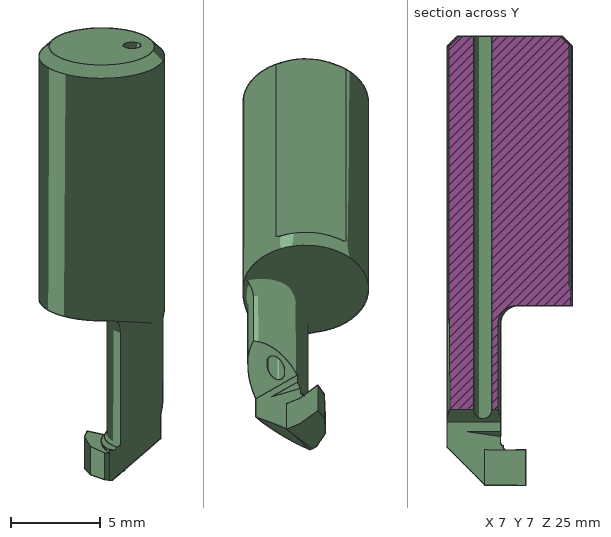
import cadquery as cq
import math

total_height = 25
shank_radius = 3.5
shank_bottom = 10
top_chamfer = 0.58

flat_distance = 2.9
flat_bottom = 11
flat_angle = 135
flat_corner_radius = 0.15

hole_x = 1.5
hole_y = 0.8
hole_radius = 0.5

arc_radius = 2.3
outer_center_x = shank_radius - arc_radius
neck_left = 0.5
inner_center_x = neck_left + arc_radius
root_fillet = 1
upper_foot_fillet = 0.15
lower_foot_fillet = 0.18
foot_top = 2.38
foot_step = 2.15
foot_bottom = 1.75

rake_y = 0.12
slope_top = 5.58
neck_half_depth = math.sqrt(arc_radius**2 - ((inner_center_x - outer_center_x) / 2) ** 2)
end_slope_z = 2.15
groove_run_out = 2.88
groove_low = (0.5, -0.15)
groove_end_x = 2.35

tip_height = 2
edge_point = (-0.9, 0.038)
flank_points = [(-0.75, -0.72), (0.05, -1.78), (1.1, -arc_radius)]
tip_right = 1.4
tip_rise = 0.2

margin = 1.25


def flared_cylinder(center_x, bottom, flares_down):
    """Cylinder up to the shank with a root fillet, and optionally a two-step filleted foot."""
    root_radius = arc_radius + root_fillet
    profile = cq.Workplane("XZ").moveTo(0, bottom)
    if flares_down:
        step_radius = arc_radius + upper_foot_fillet
        foot_radius = step_radius + lower_foot_fillet
        profile = (
            profile.lineTo(foot_radius, bottom)
            .lineTo(foot_radius, foot_step - lower_foot_fillet)
            .radiusArc((step_radius, foot_step), lower_foot_fillet)
            .lineTo(step_radius, foot_top - upper_foot_fillet)
            .radiusArc((arc_radius, foot_top), upper_foot_fillet)
        )
    else:
        profile = profile.lineTo(arc_radius, bottom)
    profile = (
        profile.lineTo(arc_radius, shank_bottom - root_fillet)
        .radiusArc((root_radius, shank_bottom), root_fillet)
        .lineTo(0, shank_bottom)
        .close()
    )
    return profile.revolve(360, (0, 0, 0), (0, 1, 0)).translate((center_x, 0, 0))


def make_shank():
    shank = (
        cq.Workplane("XY")
        .workplane(offset=shank_bottom)
        .circle(shank_radius)
        .extrude(total_height - shank_bottom)
        .faces(">Z")
        .chamfer(top_chamfer)
    )
    cutter = (
        cq.Workplane("XY")
        .box(shank_radius, 2 * shank_radius, total_height, centered=(False, True, False))
        .edges("<X and <Z")
        .fillet(flat_corner_radius)
        .translate((flat_distance, 0, flat_bottom))
        .rotate((0, 0, 0), (0, 0, 1), flat_angle)
    )
    return shank.cut(cutter)


def make_neck():
    lens = flared_cylinder(outer_center_x, foot_bottom, False).intersect(
        flared_cylinder(inner_center_x, foot_bottom, True)
    )
    envelope = cq.Workplane("XY").circle(shank_radius).extrude(shank_bottom)
    return lens.intersect(envelope)


def make_tip_backing():
    """Round segment behind the tip, reaching up into the neck."""
    cylinder = cq.Workplane("XY").center(outer_center_x, 0).circle(arc_radius).extrude(tip_height)
    right_side = (
        cq.Workplane("XY")
        .box(2 * shank_radius, 2 * shank_radius, tip_height, centered=(False, True, False))
        .translate((tip_right, 0, 0))
    )
    return cylinder.intersect(right_side)


def rake_cutter():
    """Half-depth flat with a 45 degree run-out, extruded along X."""
    run_out_rise = neck_half_depth - rake_y
    return (
        cq.Workplane("YZ")
        .moveTo(rake_y, -margin)
        .lineTo(rake_y, slope_top - run_out_rise)
        .lineTo(neck_half_depth + margin, slope_top + margin)
        .lineTo(neck_half_depth + margin, -margin)
        .close()
        .extrude(shank_radius + margin, both=True)
    )


def groove_cutter():
    """Shallow V groove behind the cutting edge, ending in a 45 degree run-out."""
    groove = (
        cq.Workplane("XY")
        .workplane(offset=-margin)
        .polyline([
            edge_point,
            groove_low,
            (groove_end_x, rake_y),
            (groove_end_x, margin),
            (edge_point[0], margin),
        ])
        .close()
        .extrude(total_height)
    )
    run_out = (
        cq.Workplane("YZ")
        .polyline([
            (-margin, -margin),
            (-margin, groove_run_out - margin),
            (margin, groove_run_out + margin),
            (margin, -margin),
        ])
        .close()
        .extrude(shank_radius + margin, both=True)
    )
    return groove.intersect(run_out)


def end_slope_cutter():
    """45 degree relief below the +X side of the cutting end."""
    reach = end_slope_z + margin
    return (
        cq.Workplane("XZ")
        .polyline([
            (shank_radius - reach, end_slope_z - reach),
            (shank_radius + margin, end_slope_z + margin),
            (shank_radius + margin, end_slope_z - reach),
        ])
        .close()
        .extrude(shank_radius, both=True)
    )


def bottom_relief_cutter():
    """Wedge below the cutting end, rising away from the cutting edge."""
    front_y = edge_point[1]
    return (
        cq.Workplane("YZ")
        .polyline([(front_y, 0), (-arc_radius, tip_rise), (-arc_radius, 0)])
        .close()
        .extrude(shank_radius, both=True)
    )


def top_relief_cutter():
    """Wedge above the tip, falling away from the cutting edge."""
    return bottom_relief_cutter().mirror("XY").translate((0, 0, tip_height))


def make_tip():
    """Faceted tip whose top and bottom have side clearance away from the cutting edge."""
    start_angle = math.acos((tip_right - outer_center_x) / arc_radius)
    back_corner = (tip_right, -arc_radius * math.sin(start_angle))
    groove_slope = (rake_y - groove_low[1]) / (groove_end_x - groove_low[0])
    rake_corner = (tip_right, groove_low[1] + groove_slope * (tip_right - groove_low[0]))
    facets = (
        cq.Workplane("XY")
        .polyline([edge_point, *flank_points, back_corner, rake_corner, groove_low])
        .close()
        .extrude(tip_height)
    )
    return facets.cut(bottom_relief_cutter()).cut(top_relief_cutter())


def make_holder(tip):
    holder = make_shank().union(make_neck()).union(make_tip_backing())
    holder = holder.cut(rake_cutter()).cut(groove_cutter()).cut(end_slope_cutter())
    holder = holder.cut(bottom_relief_cutter())
    hole = cq.Workplane("XY").center(hole_x, hole_y).circle(hole_radius).extrude(total_height)
    return holder.cut(hole).cut(tip)


cutting_tip = make_tip()
holder = make_holder(cutting_tip)

result = cq.Compound.makeCompound([holder.val(), cutting_tip.val()])